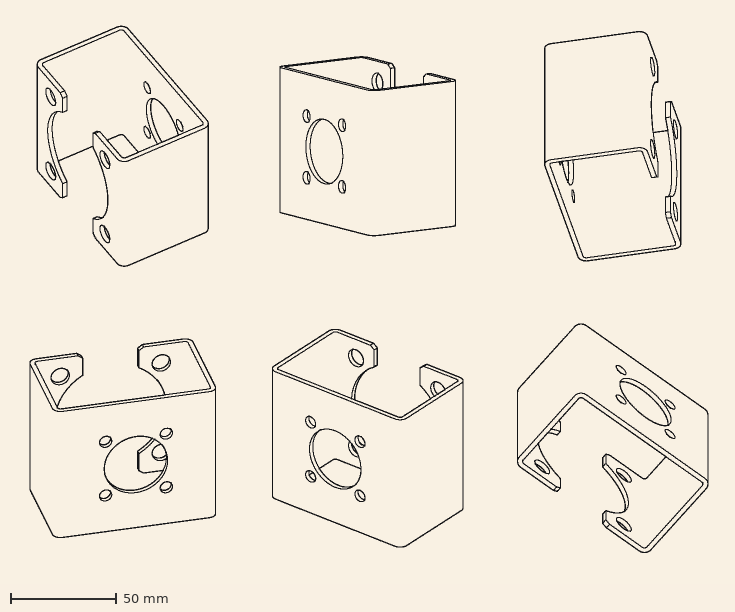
import cadquery as cq

width = 80.0
depth = 50.0
height = 70.0
thickness = 2.5
outer_bend_radius = 4.0
inner_bend_radius = outer_bend_radius - thickness

slot_width = 27.5
clearance_diameter = 55.0
corner_chamfer_x = 2.3
corner_chamfer_z = 1.8

flange_hole_diameter = 9.0
flange_hole_spacing = 49.6
bore_diameter = 31.0
bolt_hole_diameter = 6.0
bolt_hole_spacing = 29.8

front_y = -depth / 2
back_y = depth / 2


def rounded_block(size_x, size_y, radius):
    """Full-height block with rounded vertical edges."""
    return cq.Workplane("XY").box(size_x, size_y, height).edges("|Z").fillet(radius)


def wall_sketch(wall_y):
    """Workplane on the outer face of a wall, with +X right and +Z up."""
    return cq.Workplane("XZ", origin=(0, wall_y, 0))


def through_wall(sketch):
    """Cutter running one wall thickness to either side of the sketch."""
    return sketch.extrude(thickness, both=True)


def square_holes(wall_y, spacing, diameter):
    """Four hole cutters at the corners of a square."""
    return through_wall(wall_sketch(wall_y).rect(spacing, spacing, forConstruction=True).vertices()
                        .circle(diameter / 2))


tube = rounded_block(width, depth, outer_bend_radius)
cavity = rounded_block(width - 2 * thickness, depth - 2 * thickness, inner_bend_radius)
result = tube.cut(cavity)

half_slot = slot_width / 2
half_mouth = half_slot + corner_chamfer_x
half_height = height / 2
chamfer_z = half_height - corner_chamfer_z
slot_outline = [
    (-half_mouth, -half_height),
    (half_mouth, -half_height),
    (half_slot, -chamfer_z),
    (half_slot, chamfer_z),
    (half_mouth, half_height),
    (-half_mouth, half_height),
    (-half_slot, chamfer_z),
    (-half_slot, -chamfer_z),
]
result = result.cut(through_wall(wall_sketch(front_y).polyline(slot_outline).close()))

result = result.cut(through_wall(wall_sketch(front_y).circle(clearance_diameter / 2)))
result = result.cut(square_holes(front_y, flange_hole_spacing, flange_hole_diameter))

result = result.cut(through_wall(wall_sketch(back_y).circle(bore_diameter / 2)))
result = result.cut(square_holes(back_y, bolt_hole_spacing, bolt_hole_diameter))